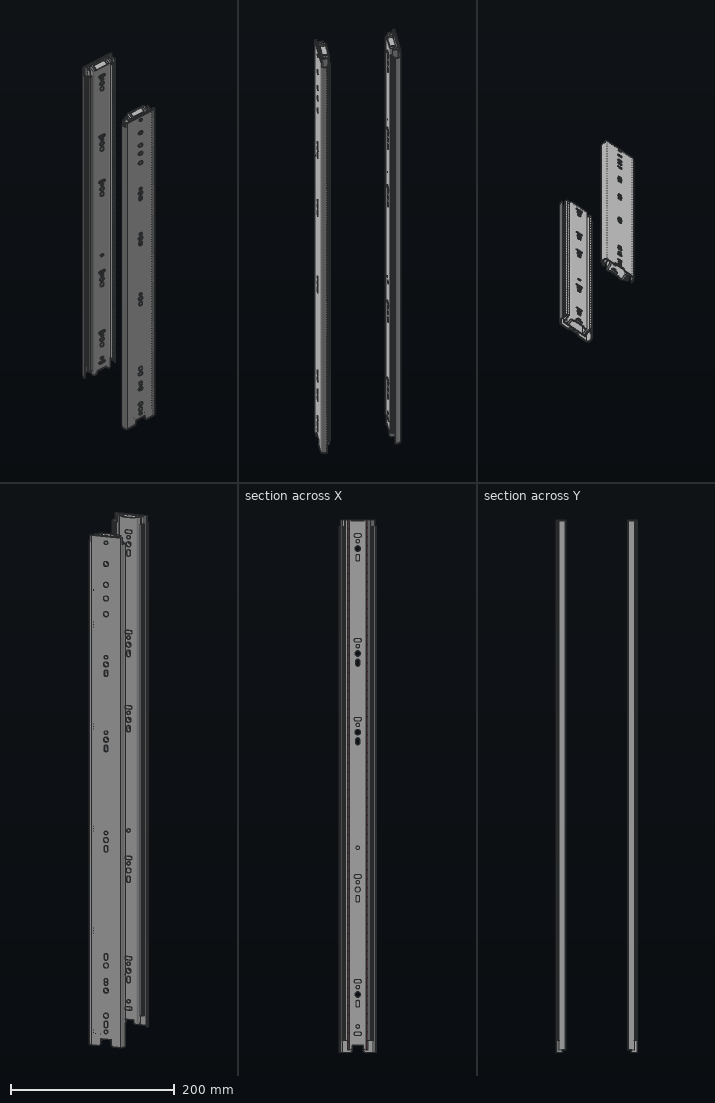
import cadquery as cq


PAIR_WIDTH = 100.0
SLIDE_HEIGHT = 45.7
SLIDE_LENGTH = 650.0
SLIDE_THICKNESS = 12.7
SHEET = 1.2
TOP_Z = SLIDE_LENGTH / 2
BOTTOM_Z = -TOP_Z
OUTER_FACE_X = -PAIR_WIDTH / 2

WEB_HALF_WIDTH = 18.6
CORNER_MID_U = 0.13
CORNER_MID_V = 19.55
CORNER_U = 0.5
CORNER_V = 20.4
CREST_U = 5.8
CREST_V = SLIDE_HEIGHT / 2
LIP_U = 8.0
LIP_V = 22.45
FLANGE_TRIM_LENGTH = 8.0
TRIMMED_HALF_WIDTH = 20.8
NOTCH_HALF_WIDTH = 6.7
NOTCH_DEPTH = 9.0
NOTCH_MOUTH = 2.0

MIDDLE_BOTTOM_Z = BOTTOM_Z + 15.0
MIDDLE_WEB_U = 1.6
MIDDLE_FLANGE_V = 16.2
HOOK_BEND_V = 17.9
HOOK_TOP_V = 19.4
HOOK_BEND_U = 10.9
HOOK_END_U = 8.8
TRIMMED_FLANGE_U = 10.0

INNER_BOTTOM_Z = BOTTOM_Z + 3.5
INNER_HALF_WIDTH = 12.7
INNER_CORNER_RADIUS = 2.5
INNER_FLANGE_U = 4.2
INNER_FLANGE_THICKNESS = 2.4
TAB_U = 4.6
TAB_HALF_WIDTH = 7.8

PITCH = 32.0
SMALL_DIAMETER = 4.4
PLAIN_DIAMETER = 4.6
LARGE_DIAMETER = 6.4
SLOT_Z = 82.0
SMALL_Z = 75.0
UPPER_Z = 66.0
LOWER_Z = 54.8
CROSS_SLOT_LENGTH = 9.0
CROSS_SLOT_WIDTH = SMALL_DIAMETER
UPRIGHT_SLOT_LENGTH = 8.4
UPRIGHT_SLOT_WIDTH = PLAIN_DIAMETER


def at_pitches(first_z, steps):
    return [first_z + PITCH * step for step in steps]


OUTER_SMALL_HOLES = at_pitches(SMALL_Z, [3, 0, -4, -10]) + [317.1]
OUTER_LARGE_HOLES = at_pitches(UPPER_Z, [7, 3, 0, -4, -9, -10, -11]) + [263.5, 246.1, 226.1]
OUTER_UPRIGHT_SLOTS = at_pitches(LOWER_Z, [3, 0, -4, -11]) + [-211.0]
OUTER_PLAIN_HOLES = [-240.9, -306.6]
MIDDLE_LARGE_HOLES = at_pitches(UPPER_Z, [7, 3, 0, -10])
MIDDLE_UPRIGHT_SLOTS = at_pitches(LOWER_Z, [3, 0])
INNER_GROUPS = [7, 3, 0, -6, -10]
INNER_CROSS_SLOTS = at_pitches(SLOT_Z, INNER_GROUPS + [-12])
INNER_SMALL_HOLES = at_pitches(SMALL_Z, INNER_GROUPS) + [-75.0, -293.0]
INNER_LARGE_HOLES = at_pitches(UPPER_Z, INNER_GROUPS)
INNER_UPRIGHT_SLOTS = at_pitches(LOWER_Z, INNER_GROUPS)


def block(u0, u1, v0, v1, z0, z1):
    return cq.Workplane("XY").box(u1 - u0, v1 - v0, z1 - z0, centered=False).translate((u0, v0, z0))


def both_sides(half):
    return half.union(half.mirror("XZ")).clean()


def top_trim(u_min, v_min):
    """Block that clears the top end of a rail beyond u_min and v_min, on the +v side."""
    return block(u_min, SLIDE_THICKNESS, v_min, SLIDE_HEIGHT, TOP_Z - FLANGE_TRIM_LENGTH, TOP_Z)


def web_holes(heights, diameter):
    points = [(0, z) for z in heights]
    return cq.Workplane("YZ").pushPoints(points).circle(diameter / 2).extrude(SLIDE_THICKNESS)


def web_slots(heights, length, width, angle):
    points = [(0, z) for z in heights]
    return cq.Workplane("YZ").pushPoints(points).slot2D(length, width, angle).extrude(SLIDE_THICKNESS)


def upright_slots(heights):
    return web_slots(heights, UPRIGHT_SLOT_LENGTH, UPRIGHT_SLOT_WIDTH, 90)


def cross_slots(heights):
    return web_slots(heights, CROSS_SLOT_LENGTH, CROSS_SLOT_WIDTH, 0)


def bottom_notch(bottom_z, top_z):
    half = NOTCH_HALF_WIDTH
    return (
        cq.Workplane("YZ")
        .moveTo(-half - NOTCH_MOUTH, bottom_z)
        .lineTo(-half, bottom_z + NOTCH_MOUTH)
        .lineTo(-half, top_z)
        .lineTo(half, top_z)
        .lineTo(half, bottom_z + NOTCH_MOUTH)
        .lineTo(half + NOTCH_MOUTH, bottom_z)
        .close()
        .extrude(SLIDE_THICKNESS)
    )


def make_outer_rail():
    outline = (
        cq.Workplane("XY", origin=(0, 0, BOTTOM_Z))
        .lineTo(0, WEB_HALF_WIDTH)
        .threePointArc((CORNER_MID_U, CORNER_MID_V), (CORNER_U, CORNER_V))
        .threePointArc((CREST_U, CREST_V), (LIP_U, LIP_V))
        .lineTo(LIP_U - SHEET / 2, LIP_V - SHEET)
        .threePointArc((CREST_U, CREST_V - SHEET), (CORNER_U + SHEET, CORNER_V - SHEET / 2))
        .lineTo(SHEET, WEB_HALF_WIDTH)
        .lineTo(SHEET, 0)
        .close()
    )
    rail = both_sides(outline.extrude(SLIDE_LENGTH))
    rail = rail.cut(both_sides(top_trim(0, TRIMMED_HALF_WIDTH)))
    rail = rail.cut(bottom_notch(BOTTOM_Z, BOTTOM_Z + NOTCH_DEPTH))
    rail = rail.cut(upright_slots(OUTER_UPRIGHT_SLOTS))
    rail = rail.cut(web_holes(OUTER_SMALL_HOLES, SMALL_DIAMETER))
    rail = rail.cut(web_holes(OUTER_PLAIN_HOLES, PLAIN_DIAMETER))
    return rail.cut(web_holes(OUTER_LARGE_HOLES, LARGE_DIAMETER))


def make_intermediate_rail():
    inside_u = SLIDE_THICKNESS - SHEET
    inside_v = MIDDLE_FLANGE_V - SHEET
    outline = (
        cq.Workplane("XY", origin=(0, 0, MIDDLE_BOTTOM_Z))
        .moveTo(MIDDLE_WEB_U, 0)
        .lineTo(MIDDLE_WEB_U, MIDDLE_FLANGE_V)
        .lineTo(inside_u, MIDDLE_FLANGE_V)
        .lineTo(inside_u, HOOK_BEND_V - SHEET / 2)
        .lineTo(HOOK_BEND_U - SHEET / 2, HOOK_TOP_V - SHEET)
        .lineTo(HOOK_END_U, HOOK_TOP_V - SHEET)
        .lineTo(HOOK_END_U, HOOK_TOP_V)
        .lineTo(HOOK_BEND_U, HOOK_TOP_V)
        .lineTo(SLIDE_THICKNESS, HOOK_BEND_V)
        .lineTo(SLIDE_THICKNESS, inside_v)
        .lineTo(MIDDLE_WEB_U + SHEET, inside_v)
        .lineTo(MIDDLE_WEB_U + SHEET, 0)
        .close()
    )
    rail = both_sides(outline.extrude(TOP_Z - MIDDLE_BOTTOM_Z))
    rail = rail.cut(both_sides(top_trim(0, MIDDLE_FLANGE_V)))
    rail = rail.cut(both_sides(top_trim(TRIMMED_FLANGE_U, 0)))
    rail = rail.cut(upright_slots(MIDDLE_UPRIGHT_SLOTS))
    return rail.cut(web_holes(MIDDLE_LARGE_HOLES, LARGE_DIAMETER))


def make_inner_rail():
    web_u = SLIDE_THICKNESS - SHEET
    rail = block(INNER_FLANGE_U, SLIDE_THICKNESS, -INNER_HALF_WIDTH, INNER_HALF_WIDTH, INNER_BOTTOM_Z, TOP_Z)
    rail = rail.edges("|Z and >X").fillet(INNER_CORNER_RADIUS)
    inside_v = INNER_HALF_WIDTH - INNER_FLANGE_THICKNESS
    cavity = block(0, web_u, -inside_v, inside_v, INNER_BOTTOM_Z, TOP_Z)
    cavity = cavity.edges("|Z and >X").fillet(INNER_CORNER_RADIUS - SHEET)
    tab = block(TAB_U, web_u, -TAB_HALF_WIDTH, TAB_HALF_WIDTH, TOP_Z - SHEET, TOP_Z)
    rail = rail.cut(cavity).union(tab)
    rail = rail.cut(bottom_notch(INNER_BOTTOM_Z, BOTTOM_Z + NOTCH_DEPTH))
    rail = rail.cut(cross_slots(INNER_CROSS_SLOTS))
    rail = rail.cut(upright_slots(INNER_UPRIGHT_SLOTS))
    rail = rail.cut(web_holes(INNER_SMALL_HOLES, SMALL_DIAMETER))
    return rail.cut(web_holes(INNER_LARGE_HOLES, LARGE_DIAMETER))


bodies = []
for make_rail in (make_outer_rail, make_intermediate_rail, make_inner_rail):
    left_rail = make_rail().translate((OUTER_FACE_X, 0, 0))
    right_rail = left_rail.mirror("YZ")
    bodies += [left_rail.val(), right_rail.val()]

result = cq.Compound.makeCompound(bodies)